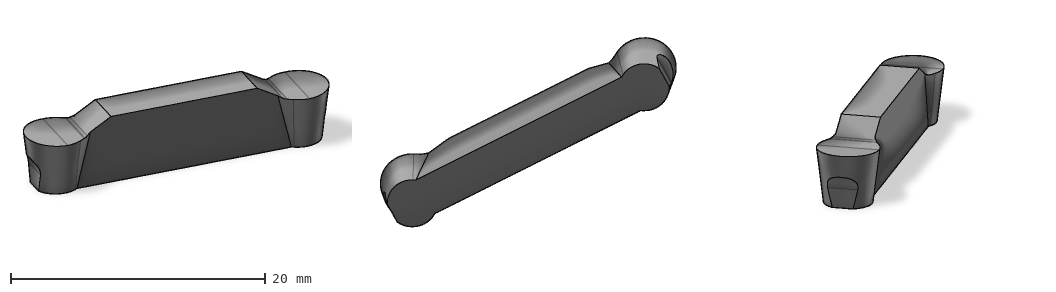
import cadquery as cq
import math

length = 25.7
height = 5.78
blade_width = 3.19

head_radius = 2.505
foot_radius = 1.965
seat_height = 4.47
tip_height = 4.55
flare = (head_radius - foot_radius) / seat_height
head_centre_y = length / 2 - (foot_radius + flare * tip_height)
neck_angle = math.radians(30)

blade_top_half_length = 6.25
ramp_angle = math.radians(30)
ramp_fillet = 0.57

land_height = 4.5
land_length = 0.05

relief_y = 12.113
relief_flat_height = 1.62
relief_radius = 1.46
relief_arc_height = 1.34


def neck_outline_offset(radius):
    """Depth and half-width where the neck's straight sides touch the head circle."""
    return radius * math.sin(neck_angle), radius * math.cos(neck_angle)


def add_head_section(plane, radius):
    """Circle drawn out to a point by two tangent lines, pointing toward -Y."""
    depth, half_width = neck_outline_offset(radius)
    return (
        plane.moveTo(half_width, -depth)
        .threePointArc((0, radius), (-half_width, -depth))
        .lineTo(0, -radius / math.sin(neck_angle))
        .close()
    )


def make_head():
    """Tapered head with its neck, at the +Y end, up to the full blade height."""
    upper_radius = foot_radius + flare * height
    foot = add_head_section(cq.Workplane("XY").center(0, head_centre_y), foot_radius)
    return add_head_section(foot.workplane(offset=height), upper_radius).loft(ruled=True, combine=True)


def make_blade():
    """Straight bar that ends where its sides meet the necks at the base."""
    depth, half_width = neck_outline_offset(foot_radius)
    neck_run = (half_width - blade_width / 2) / math.tan(neck_angle)
    half_length = head_centre_y - depth - neck_run
    return cq.Workplane("XY").box(blade_width, 2 * half_length, height, centered=(True, True, False))


def make_side_profile():
    """Half of the lengthwise silhouette, extruded across the heads."""
    ramp_foot_y = blade_top_half_length + (height - land_height) / math.tan(ramp_angle)
    tangent_length = ramp_fillet * math.tan(ramp_angle / 2)
    fillet_start = (
        ramp_foot_y - tangent_length * math.cos(ramp_angle),
        land_height + tangent_length * math.sin(ramp_angle),
    )
    fillet_end = (ramp_foot_y + tangent_length, land_height)
    fillet_middle = (
        fillet_end[0] - ramp_fillet * math.sin(ramp_angle / 2),
        land_height + ramp_fillet * (1 - math.cos(ramp_angle / 2)),
    )

    def relief_arc_point(rise):
        run = relief_radius - math.sqrt(relief_radius**2 - rise**2)
        return relief_y + run, relief_flat_height + rise

    outside_y = length / 2 + 0.25
    relief_end = relief_arc_point(relief_arc_height)
    return (
        cq.Workplane("YZ")
        .moveTo(0, 0)
        .lineTo(0, height)
        .lineTo(blade_top_half_length, height)
        .lineTo(*fillet_start)
        .threePointArc(fillet_middle, fillet_end)
        .lineTo(fillet_end[0] + land_length, land_height)
        .lineTo(head_centre_y, seat_height)
        .lineTo(length / 2, tip_height)
        .lineTo(outside_y, tip_height)
        .lineTo(outside_y, relief_end[1])
        .lineTo(*relief_end)
        .threePointArc(relief_arc_point(relief_arc_height / 2), (relief_y, relief_flat_height))
        .lineTo(relief_y, 0)
        .close()
        .extrude(head_radius * 2, both=True)
    )


half = make_blade().union(make_head()).intersect(make_side_profile())
result = half.union(half.mirror("XZ")).clean()